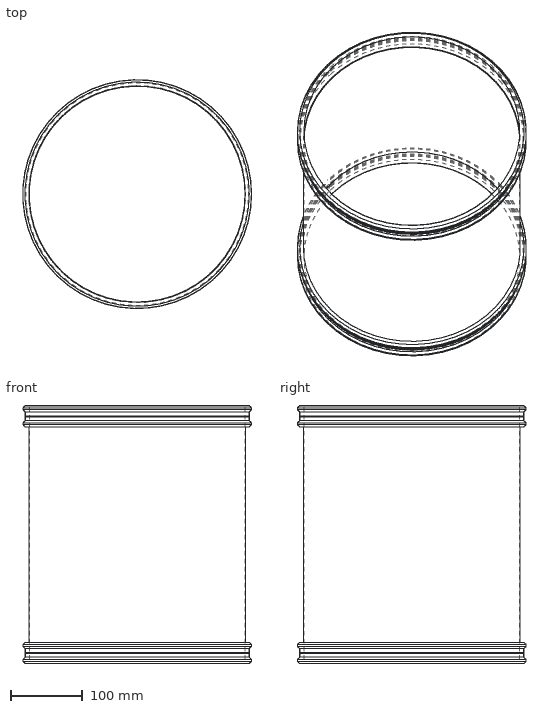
import cadquery as cq

total_height = 358.8
bore_radius = 300.0 / 2
tube_radius = 301.8 / 2
groove_radius = 311.8 / 2
bead_radius = 318.3 / 2

ring_height = 29.8
bead_height = 9.0
bead_land = 2.5
bead_slope = (bead_height - bead_land) / 2
slit_width = 1.5
slit_depth = 1.0


def bead_outline(start):
    """Points (radius, distance from the duct end) of one bevelled bead."""
    return [
        (groove_radius, start),
        (bead_radius, start + bead_slope),
        (bead_radius, start + bead_slope + bead_land),
        (groove_radius, start + bead_height),
    ]


def slit_outline(middle):
    """Points (radius, distance from the duct end) of the square-bottomed slit."""
    return [
        (groove_radius, middle - slit_width / 2),
        (groove_radius - slit_depth, middle - slit_width / 2),
        (groove_radius - slit_depth, middle + slit_width / 2),
        (groove_radius, middle + slit_width / 2),
    ]


def ring_profile(end_z, inward):
    """Outer points (radius, z) of an end ring, from the duct end towards the tube.

    inward is +1 for the lower ring and -1 for the upper ring.
    """
    outline = bead_outline(0) + slit_outline(ring_height / 2) + bead_outline(ring_height - bead_height)
    return [(radius, end_z + inward * distance) for radius, distance in outline]


def revolve_profile(points):
    """Turn a closed (radius, z) profile once around the Z axis."""
    return cq.Workplane("XZ").polyline(points).close().revolve(360, (0, 0, 0), (0, 1, 0))


bottom_z = -total_height / 2
top_z = total_height / 2
seam_z = top_z - ring_height
duct = revolve_profile(
    [(bore_radius, bottom_z)]
    + ring_profile(bottom_z, 1)
    + [
        (tube_radius, bottom_z + ring_height),
        (tube_radius, seam_z),
        (bore_radius, seam_z),
    ]
)

upper_ring = revolve_profile(
    [(bore_radius, top_z)] + ring_profile(top_z, -1) + [(bore_radius, seam_z)]
)

result = cq.Compound.makeCompound([duct.val(), upper_ring.val()])